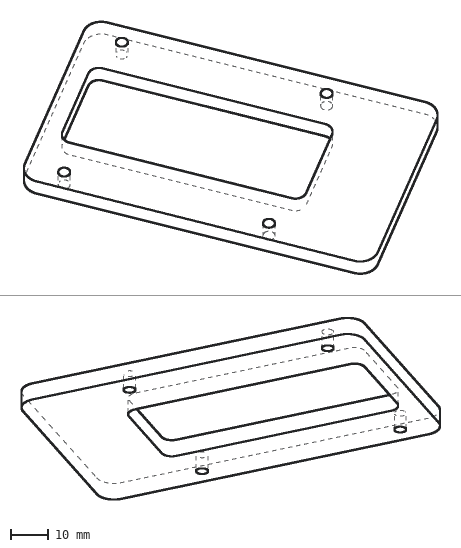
import cadquery as cq

length = 100
width = 60
thickness = 5
corner_radius = 5

window_length = 69
window_width = 28
window_radius = 3
window_left_margin = 6
window_x = -length / 2 + window_left_margin + window_length / 2

hole_diameter = 3.2
hole_spacing_x = 58
hole_spacing_y = 49
hole_left_margin = 11
hole_pattern_x = -length / 2 + hole_left_margin + hole_spacing_x / 2


def rounded_block(block_length, block_width, radius):
    """Full-thickness block with rounded vertical edges."""
    block = cq.Workplane("XY").rect(block_length, block_width).extrude(thickness)
    return block.edges("|Z").fillet(radius)


plate = rounded_block(length, width, corner_radius)
window = rounded_block(window_length, window_width, window_radius).translate((window_x, 0, 0))
screw_holes = (
    cq.Workplane("XY")
    .center(hole_pattern_x, 0)
    .rect(hole_spacing_x, hole_spacing_y, forConstruction=True)
    .vertices()
    .circle(hole_diameter / 2)
    .extrude(thickness)
)

result = plate.cut(window).cut(screw_holes)